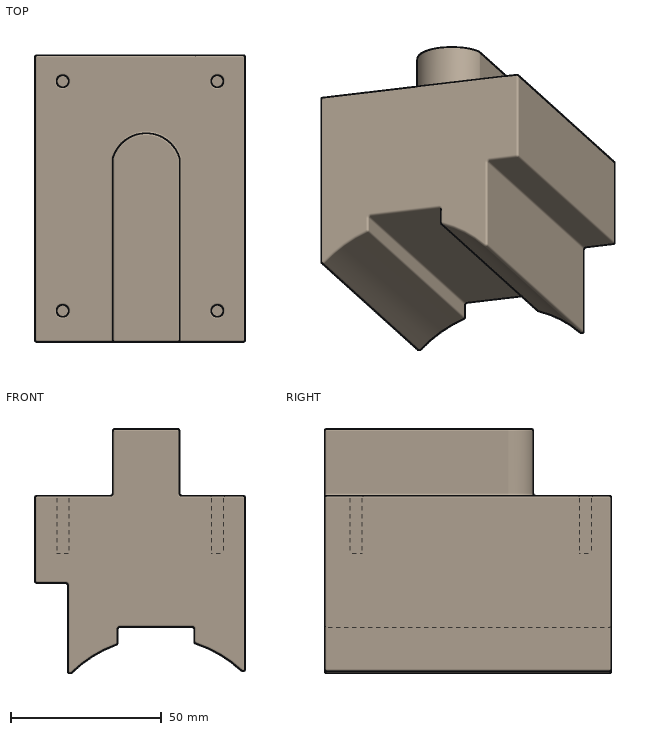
import cadquery as cq
import math

width = 69.8
length = 95.25
upper_height = 29.05

ledge = 11.0
saddle_radius = 40.7
saddle_center_x = 40.8
saddle_center_z = -87.8

channel_width = 25.4
channel_center_x = 40.2
channel_roof_z = -43.6

rib_width = 22.2
rib_height = 22.2
rib_center_x = 37.0
rib_straight_length = 61.1
rib_total_length = 69.3

hole_diameter = 4.0
hole_depth = 19.05
hole_spacing_x = 51.3
hole_spacing_y = 76.2
hole_center_x = width / 2
hole_center_y = 48.5
hole_mouth_radius = 0.7

edge_radius = 0.8


def saddle_z(x):
    """Height of the saddle surface at a given X."""
    return saddle_center_z + math.sqrt(saddle_radius**2 - (x - saddle_center_x) ** 2)


def make_block():
    """Stepped block with the saddle and its relief channel, extruded along Y."""
    channel_left = channel_center_x - channel_width / 2
    channel_right = channel_center_x + channel_width / 2
    right_arc_x = (channel_right + width) / 2
    left_arc_x = (channel_left + ledge) / 2
    return (
        cq.Workplane("XZ")
        .moveTo(0, 0)
        .lineTo(width, 0)
        .lineTo(width, saddle_z(width))
        .threePointArc((right_arc_x, saddle_z(right_arc_x)), (channel_right, saddle_z(channel_right)))
        .lineTo(channel_right, channel_roof_z)
        .lineTo(channel_left, channel_roof_z)
        .lineTo(channel_left, saddle_z(channel_left))
        .threePointArc((left_arc_x, saddle_z(left_arc_x)), (ledge, saddle_z(ledge)))
        .lineTo(ledge, -upper_height)
        .lineTo(0, -upper_height)
        .close()
        .extrude(-length)
    )


def make_rib():
    """Upright rib flush with the front face."""
    left = rib_center_x - rib_width / 2
    right = rib_center_x + rib_width / 2
    return (
        cq.Workplane("XY")
        .moveTo(left, 0)
        .lineTo(right, 0)
        .lineTo(right, rib_straight_length)
        .threePointArc((rib_center_x, rib_total_length), (left, rib_straight_length))
        .close()
        .extrude(rib_height)
    )


def drill_holes(body):
    """Four blind holes with rounded mouths."""
    mouth_radius = hole_diameter / 2 + hole_mouth_radius
    profile = (
        cq.Workplane("XZ")
        .moveTo(0, 0)
        .lineTo(mouth_radius, 0)
        .radiusArc((hole_diameter / 2, -hole_mouth_radius), -hole_mouth_radius)
        .lineTo(hole_diameter / 2, -hole_depth)
        .lineTo(0, -hole_depth)
        .close()
    )
    cutter = profile.revolve(360, (0, 0, 0), (0, 1, 0))
    for side_x in (-1, 1):
        for side_y in (-1, 1):
            x = hole_center_x + side_x * hole_spacing_x / 2
            y = hole_center_y + side_y * hole_spacing_y / 2
            body = body.cut(cutter.translate((x, y, 0)))
    return body


block_with_rib = make_block().union(make_rib())
rounded_body = block_with_rib.edges().fillet(edge_radius)
result = drill_holes(rounded_body)